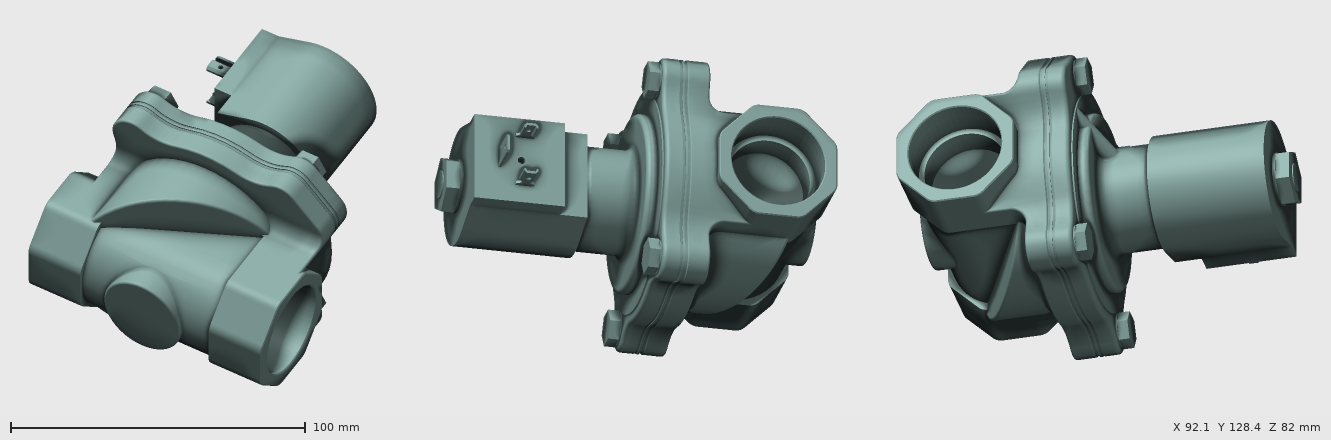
import cadquery as cq
import math


PORT_ACROSS_FLATS = 41.1
PORT_CORNER_RADIUS = 4.9
PORT_LENGTH = 20.7
PORT_END_CHAMFER = 0.4
INLET_X = -45.0
OUTLET_X = 47.1
PIPE_RADIUS = 19.1
BORE_RADIUS = 16.3
BORE_CHAMFER = 0.4
BORE_DEPTH = 14.8
SEAT_RADIUS = 14.4
SEAT_DEPTH = 25.0
SEAT_CONE_DEPTH = 8.3

BOSS_RADIUS = 15.0
BOSS_END_Y = -20.7
BOSS_EDGE_FILLET = 0.9
BOSS_BASE_FILLET = 0.5

RIM_RADIUS = 40.8
LOBE_X = 29.1
LOBE_Z = 33.19
LOBE_RADIUS = 7.8
LOBE_BLEND_RADIUS = 18.0
PILOT_LOBE_SHIFT = 9.8
FLANGE_BOTTOM_Y = 21.8
FLANGE_TOP_Y = 29.7
GASKET_INSET = 0.4
LIP_BOTTOM_Y = 30.7
LIP_TOP_Y = 31.5
COVER_BOTTOM_Y = 32.4
COVER_TOP_Y = 38.4
FLANGE_FILLET = 0.8
FLANGE_TOP_CHAMFER = 0.4
COVER_TOP_FILLET = 1.5
WEB_FILLET = 5.6

DOME_RADIUS = 34.5
DOME_PLANE_Y = 4.5
DOME_SLOPE = math.radians(24.8)
DOME_EDGE_FILLET = 1.0

PAD_RADIUS = 37.6
PAD_THICKNESS = 0.5
DISC_RADIUS = 30.8
DISC_TOP_Y = 42.6
DISC_EDGE_FILLET = 1.8
BOLT_ACROSS_FLATS = 10.9
BOLT_TOP_Y = 42.6
BOLT_WASHER_RADIUS = 6.0
NECK_RADIUS = 18.0
NECK_FLARE = 2.3
NECK_CHAMFER_HEIGHT = 1.5
NECK_CHAMFER_DEPTH = 0.5
TUBE_RADIUS = 3.1
TUBE_BASE_FILLET = 1.0
TUBE_START_RADIUS = 15.2
TUBE_START_Y = 47.5
TUBE_SLOPE = math.radians(29)
TUBE_LENGTH = 23.1

COIL_RADIUS = 20.4
COIL_BOTTOM_Y = 60.5
COIL_TOP_Y = 101.5
COIL_FACE_X = -18.2
CONNECTOR_FACE_X = -24.9
CONNECTOR_HALF_HEIGHT = 15.7
CONNECTOR_BOTTOM_Y = 69.8
SCREW_HOLE_RADIUS = 1.3
SCREW_HOLE_DEPTH = 3.9
SCREW_HOLE_Y = 85.0
NUT_ACROSS_FLATS = 17.3
NUT_WASHER_RADIUS = 9.2
NUT_BOTTOM_Y = 102.6
NUT_TOP_Y = 107.3
STEM_RADIUS = 4.9
STEM_TOP_Y = 107.7

PIN_THICKNESS = 0.9
PIN_HOLE_RADIUS = 0.9
GROUND_PIN_Y = 92.6
GROUND_PIN_TIP_X = -37.6
GROUND_PIN_HALF_WIDTH = 3.3
PIN_TIP_CHAMFER = 0.8
POWER_PIN_Y = 84.0
POWER_PIN_Z = 9.0
POWER_PIN_TIP_X = -35.0
POWER_PIN_HOLE_X = -30.8
POWER_PIN_HALF_WIDTH = 1.5
POWER_PIN_TAPER_LENGTH = 1.0
POWER_PIN_SHOULDER_HALF_WIDTH = 3.2
POWER_PIN_SHOULDER_LENGTH = 1.3
WING_LENGTH = 7.2
WING_SPREAD = 0.9
WING_THICKNESS = 0.5


def level(y):
    """Workplane across the solenoid axis: local x is X, local y is Z, and a negative extrusion rises."""
    return cq.Workplane("XZ", origin=(0, y, 0))


def disc(radius, bottom, top):
    return level(bottom).circle(radius).extrude(bottom - top)


def hexagon(across_flats, bottom, top, center=(0, 0), turn=0):
    prism = level(bottom).polygon(6, across_flats / math.cos(math.pi / 6)).extrude(bottom - top)
    return prism.rotate((0, 0, 0), (0, 1, 0), turn).translate((center[0], 0, center[1]))


def scaled_sum(start, direction, distance):
    """Point at a distance from start along a direction of any length."""
    length = math.hypot(*direction)
    return tuple(s + d * distance / length for s, d in zip(start, direction))


def difference(end, start):
    return end[0] - start[0], end[1] - start[1]


def arc_middle(start, end, center, radius):
    """Middle of the shorter arc between two points of a circle."""
    chord_middle = ((start[0] + end[0]) / 2, (start[1] + end[1]) / 2)
    return scaled_sum(center, difference(chord_middle, center), radius)


def lobe_blend(center, side):
    """Concave arc between rim and lobe: its centre, its end on the rim and its end on the lobe.

    side is -1 for the clockwise flank of the lobe and +1 for the counterclockwise flank.
    """
    to_lobe = math.hypot(*center)
    to_blend = RIM_RADIUS + LOBE_BLEND_RADIUS
    lobe_to_blend = LOBE_RADIUS + LOBE_BLEND_RADIUS
    cosine = (to_lobe**2 + to_blend**2 - lobe_to_blend**2) / (2 * to_lobe * to_blend)
    angle = math.atan2(center[1], center[0]) + side * math.acos(cosine)
    blend = (to_blend * math.cos(angle), to_blend * math.sin(angle))
    on_rim = scaled_sum((0, 0), blend, RIM_RADIUS)
    on_lobe = scaled_sum(center, difference(blend, center), LOBE_RADIUS)
    return blend, on_rim, on_lobe


BOLT_CENTERS = [(LOBE_X, LOBE_Z), (-LOBE_X, LOBE_Z), (-LOBE_X, -LOBE_Z), (LOBE_X, -LOBE_Z)]
PILOT_CENTER = (LOBE_X + PILOT_LOBE_SHIFT, LOBE_Z - PILOT_LOBE_SHIFT)


def flange_outline(y):
    """Round rim with four bolt lobes, the first one widened by the pilot lobe."""
    lobes = [[PILOT_CENTER, BOLT_CENTERS[0]]] + [[center] for center in BOLT_CENTERS[1:]]
    start = lobe_blend(lobes[-1][-1], 1)[1]
    outline = level(y).moveTo(*start)
    rim_point = start
    for lobe in lobes:
        blend, on_rim, on_lobe = lobe_blend(lobe[0], -1)
        outline = outline.threePointArc(arc_middle(rim_point, on_rim, (0, 0), RIM_RADIUS), on_rim)
        outline = outline.threePointArc(arc_middle(on_rim, on_lobe, blend, LOBE_BLEND_RADIUS), on_lobe)
        if len(lobe) == 2:
            flat_start = scaled_sum(lobe[0], (1, 1), LOBE_RADIUS)
            outline = outline.threePointArc(arc_middle(on_lobe, flat_start, lobe[0], LOBE_RADIUS), flat_start)
            on_lobe = scaled_sum(lobe[1], (1, 1), LOBE_RADIUS)
            outline = outline.lineTo(*on_lobe)
        blend, rim_point, lobe_end = lobe_blend(lobe[-1], 1)
        outline = outline.threePointArc(arc_middle(on_lobe, lobe_end, lobe[-1], LOBE_RADIUS), lobe_end)
        outline = outline.threePointArc(arc_middle(lobe_end, rim_point, blend, LOBE_BLEND_RADIUS), rim_point)
    return outline.close()


def flange_plate(bottom, top):
    return flange_outline(bottom).extrude(bottom - top)


def port(start_x, outer_face):
    octagon_diameter = PORT_ACROSS_FLATS / math.cos(math.pi / 8)
    body = (
        cq.Workplane("YZ", origin=(start_x, 0, 0))
        .transformed(rotate=(0, 0, 22.5))
        .polygon(8, octagon_diameter)
        .extrude(PORT_LENGTH)
        .edges("|X")
        .fillet(PORT_CORNER_RADIUS)
    )
    return body.faces(outer_face).chamfer(PORT_END_CHAMFER)


def port_bore():
    """Stepped, conical blind bore opening at x = 0 and going toward +X."""
    return (
        cq.Workplane("XY")
        .polyline([
            (0, 0),
            (0, BORE_RADIUS + BORE_CHAMFER),
            (BORE_CHAMFER, BORE_RADIUS),
            (BORE_DEPTH, BORE_RADIUS),
            (BORE_DEPTH, SEAT_RADIUS),
            (SEAT_DEPTH, SEAT_RADIUS),
            (SEAT_DEPTH + SEAT_CONE_DEPTH, 0),
        ])
        .close()
        .revolve(360, (0, 0, 0), (1, 0, 0))
    )


def flange_and_webs():
    """Body flange on two side walls that flare into it and carry it over the ports."""
    side = PORT_ACROSS_FLATS / 2
    flare_y = FLANGE_BOTTOM_Y - WEB_FILLET
    flare_z = side + WEB_FILLET
    inset = WEB_FILLET * (1 - math.sqrt(0.5))
    web_profile = (
        cq.Workplane("YZ", origin=(INLET_X, 0, 0))
        .moveTo(0, -side)
        .lineTo(flare_y, -side)
        .threePointArc((FLANGE_BOTTOM_Y - inset, -side - inset), (FLANGE_BOTTOM_Y, -flare_z))
        .lineTo(FLANGE_BOTTOM_Y, flare_z)
        .threePointArc((FLANGE_BOTTOM_Y - inset, side + inset), (flare_y, side))
        .lineTo(0, side)
        .close()
        .extrude(OUTLET_X - INLET_X)
    )
    webs = web_profile.intersect(flange_plate(0, FLANGE_BOTTOM_Y))
    body = flange_plate(FLANGE_BOTTOM_Y, FLANGE_TOP_Y).union(webs)
    underside = cq.selectors.BoxSelector(
        (INLET_X, FLANGE_BOTTOM_Y - 1.3, INLET_X),
        (OUTLET_X, FLANGE_BOTTOM_Y + 1.3, OUTLET_X),
    )
    body = body.edges(underside - cq.selectors.ParallelDirSelector(cq.Vector(1, 0, 0))).fillet(FLANGE_FILLET)
    body = body.faces(">Y").edges().chamfer(FLANGE_TOP_CHAMFER)
    between_ports = cq.Workplane("XY").box(
        OUTLET_X - INLET_X - 2 * PORT_LENGTH,
        flare_y,
        2 * flare_z,
        (False, False, True),
    )
    return body.cut(between_ports.translate((INLET_X + PORT_LENGTH, 0, 0)))


def pipe():
    start = INLET_X + PORT_LENGTH
    length = OUTLET_X - PORT_LENGTH - start
    tube = cq.Workplane("YZ", origin=(start, 0, 0)).circle(PIPE_RADIUS).extrude(length)
    walls = cq.Workplane("XY").box(length, FLANGE_BOTTOM_Y, 2 * PIPE_RADIUS, (False, False, True))
    straight = tube.union(walls.translate((start, 0, 0)))
    base = cq.selectors.BoxSelector(
        (-BOSS_RADIUS - 1.3, BOSS_END_Y + 1.3, -BOSS_RADIUS - 1.3),
        (BOSS_RADIUS + 1.3, -1.3, BOSS_RADIUS + 1.3),
    )
    return straight.union(bottom_boss()).edges(base).fillet(BOSS_BASE_FILLET)


def dome():
    rise = DOME_RADIUS * math.tan(DOME_SLOPE)
    left = (-DOME_RADIUS, DOME_PLANE_Y - rise)
    right = (DOME_RADIUS, DOME_PLANE_Y + rise)
    kept = (
        cq.Workplane("XY", origin=(0, 0, -DOME_RADIUS))
        .polyline([left, right, (DOME_RADIUS, FLANGE_BOTTOM_Y), (-DOME_RADIUS, FLANGE_BOTTOM_Y)])
        .close()
        .extrude(2 * DOME_RADIUS)
    )
    cylinder = disc(DOME_RADIUS, left[1], FLANGE_BOTTOM_Y)
    return cylinder.intersect(kept).faces("<Y").edges().fillet(DOME_EDGE_FILLET)


def bottom_boss():
    return disc(BOSS_RADIUS, BOSS_END_Y, 0).faces("<Y").edges().fillet(BOSS_EDGE_FILLET)


def valve_body():
    body = flange_and_webs().union(pipe()).union(dome())
    for start_x, outer_face in ((INLET_X, "<X"), (OUTLET_X - PORT_LENGTH, ">X")):
        body = body.union(port(start_x, outer_face))
    inlet_bore = port_bore().translate((INLET_X, 0, 0))
    outlet_bore = port_bore().rotate((0, 0, 0), (0, 1, 0), 180).translate((OUTLET_X, 0, 0))
    return body.cut(inlet_bore).cut(outlet_bore)


def gasket():
    """Recessed packing with a thin lip that stands out to the full outline."""
    outline = flange_outline(FLANGE_TOP_Y).offset2D(-GASKET_INSET)
    packing = outline.extrude(FLANGE_TOP_Y - COVER_BOTTOM_Y)
    return packing.union(flange_plate(LIP_BOTTOM_Y, LIP_TOP_Y))


def pilot_tube():
    """Sloping tube toward the pilot lobe, filleted onto the straight column of the neck."""
    heading = scaled_sum((0, 0), PILOT_CENTER, 1)
    start = scaled_sum((0, 0), PILOT_CENTER, TUBE_START_RADIUS)
    flat = math.cos(TUBE_SLOPE)
    axis = cq.Vector(heading[0] * flat, -math.sin(TUBE_SLOPE), heading[1] * flat)
    base = cq.Vector(start[0], TUBE_START_Y, start[1])
    tube = cq.Workplane(cq.Solid.makeCylinder(TUBE_RADIUS, TUBE_LENGTH, base, axis))
    column = disc(NECK_RADIUS, COVER_TOP_Y, COIL_BOTTOM_Y - NECK_CHAMFER_HEIGHT)
    return column.union(tube).edges("%BSPLINE").fillet(TUBE_BASE_FILLET)


def cover():
    plate = flange_plate(COVER_BOTTOM_Y, COVER_TOP_Y)
    plate = plate.faces(">Y").edges().fillet(COVER_TOP_FILLET)
    raised = disc(DISC_RADIUS, COVER_TOP_Y, DISC_TOP_Y).faces(">Y").edges().fillet(DISC_EDGE_FILLET)
    pad_top = COVER_TOP_Y + PAD_THICKNESS
    top = plate.union(disc(PAD_RADIUS, COVER_TOP_Y, pad_top)).union(raised)
    for center in BOLT_CENTERS:
        washer = disc(BOLT_WASHER_RADIUS, COVER_TOP_Y, pad_top).translate((center[0], 0, center[1]))
        top = top.union(washer).union(hexagon(BOLT_ACROSS_FLATS, pad_top, BOLT_TOP_Y, center))
    return top


def neck():
    flare_bend = NECK_FLARE * (1 - math.sqrt(0.5))
    column = (
        cq.Workplane("XY")
        .moveTo(0, DISC_TOP_Y)
        .lineTo(NECK_RADIUS + NECK_FLARE, DISC_TOP_Y)
        .threePointArc(
            (NECK_RADIUS + flare_bend, DISC_TOP_Y + flare_bend),
            (NECK_RADIUS, DISC_TOP_Y + NECK_FLARE),
        )
        .lineTo(NECK_RADIUS, COIL_BOTTOM_Y - NECK_CHAMFER_HEIGHT)
        .lineTo(NECK_RADIUS - NECK_CHAMFER_DEPTH, COIL_BOTTOM_Y)
        .lineTo(0, COIL_BOTTOM_Y)
        .close()
        .revolve(360, (0, 0, 0), (0, 1, 0))
    )
    return column.union(pilot_tube())


def coil():
    """Round coil whose flanks run on as tangent planes to the flat connector face."""
    corner_distance = math.hypot(COIL_FACE_X, CONNECTOR_HALF_HEIGHT)
    corner_angle = math.atan2(CONNECTOR_HALF_HEIGHT, COIL_FACE_X)
    tangent_angle = corner_angle - math.acos(COIL_RADIUS / corner_distance)
    tangent_x = COIL_RADIUS * math.cos(tangent_angle)
    tangent_z = COIL_RADIUS * math.sin(tangent_angle)
    body = (
        level(COIL_BOTTOM_Y)
        .moveTo(COIL_FACE_X, -CONNECTOR_HALF_HEIGHT)
        .lineTo(tangent_x, -tangent_z)
        .threePointArc((COIL_RADIUS, 0), (tangent_x, tangent_z))
        .lineTo(COIL_FACE_X, CONNECTOR_HALF_HEIGHT)
        .close()
        .extrude(COIL_BOTTOM_Y - COIL_TOP_Y)
    )
    connector = cq.Workplane("XY").box(
        COIL_FACE_X - CONNECTOR_FACE_X,
        COIL_TOP_Y - CONNECTOR_BOTTOM_Y,
        2 * CONNECTOR_HALF_HEIGHT,
        (False, False, True),
    ).translate((CONNECTOR_FACE_X, CONNECTOR_BOTTOM_Y, 0))
    screw_hole = (
        cq.Workplane("YZ", origin=(CONNECTOR_FACE_X, SCREW_HOLE_Y, 0))
        .circle(SCREW_HOLE_RADIUS)
        .extrude(SCREW_HOLE_DEPTH)
    )
    return body.union(connector).cut(screw_hole)


def top_nut():
    washer = disc(NUT_WASHER_RADIUS, COIL_TOP_Y, NUT_BOTTOM_Y)
    nut = hexagon(NUT_ACROSS_FLATS, NUT_BOTTOM_Y, NUT_TOP_Y, turn=30)
    return washer.union(nut).union(disc(STEM_RADIUS, NUT_TOP_Y, STEM_TOP_Y))


def ground_pin():
    length = CONNECTOR_FACE_X - GROUND_PIN_TIP_X
    blade = (
        cq.Workplane("XY")
        .box(length, PIN_THICKNESS, 2 * GROUND_PIN_HALF_WIDTH, (False, True, True))
        .edges("<X and |Y")
        .chamfer(PIN_TIP_CHAMFER)
    )
    hole = disc(PIN_HOLE_RADIUS, -PIN_THICKNESS, PIN_THICKNESS).translate((GROUND_PIN_HALF_WIDTH, 0, 0))
    return blade.cut(hole).translate((GROUND_PIN_TIP_X, GROUND_PIN_Y, 0))


def power_pin():
    """Perforated blade with two wings folded down along its sides."""
    shoulder_x = CONNECTOR_FACE_X - POWER_PIN_SHOULDER_LENGTH
    half = [
        (POWER_PIN_TIP_X, POWER_PIN_HALF_WIDTH),
        (shoulder_x - POWER_PIN_TAPER_LENGTH, POWER_PIN_HALF_WIDTH),
        (shoulder_x, POWER_PIN_SHOULDER_HALF_WIDTH),
        (CONNECTOR_FACE_X, POWER_PIN_SHOULDER_HALF_WIDTH),
    ]
    mirrored = [(x, -y) for x, y in reversed(half)]
    blade = cq.Workplane("XY").polyline(half + mirrored).close().extrude(PIN_THICKNESS / 2, both=True)
    hole = (
        cq.Workplane("XY")
        .center(POWER_PIN_HOLE_X, 0)
        .circle(PIN_HOLE_RADIUS)
        .extrude(PIN_THICKNESS, both=True)
    )
    top = PIN_THICKNESS / 2
    outer = POWER_PIN_HALF_WIDTH + WING_SPREAD
    wing = (
        cq.Workplane("YZ", origin=(POWER_PIN_TIP_X, 0, 0))
        .polyline([
            (POWER_PIN_HALF_WIDTH, top),
            (outer, top - WING_SPREAD),
            (outer, -top - WING_SPREAD),
            (outer - WING_THICKNESS, -top - WING_SPREAD),
            (POWER_PIN_HALF_WIDTH, -top),
        ])
        .close()
        .extrude(WING_LENGTH)
    )
    pin = blade.cut(hole).union(wing).union(wing.mirror("XZ"))
    return pin.translate((0, POWER_PIN_Y, POWER_PIN_Z))


result = valve_body().union(gasket()).union(cover()).union(neck()).union(coil()).union(top_nut())
result = result.union(ground_pin()).union(power_pin()).union(power_pin().mirror("XY"))